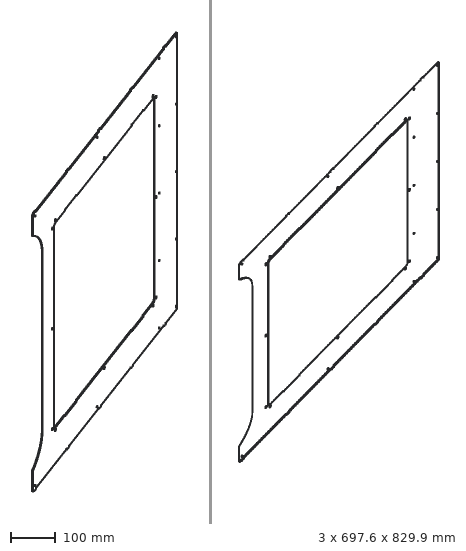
import cadquery as cq
import math

thickness = 3.0
width = 697.6
height = 829.9
tab_height = 3.0
back_edge = width / 2
front_edge = -width / 2

tab_width = 10.0
middle_tab_y = -24.0
inner_tab_offset = 155.0
outer_tab_offset = 315.0

post_edge = -301.9
sweep_radius = 102.0
sweep_start_z = 264.0

window_center_y = -3.2
window_width = 489.0
window_height = 611.0
window_corner_radius = 7.5
relief_offset = 162.0
relief_length = 56.0
relief_depth = 2.8

plate_hole_diameter = 3.5
window_hole_diameter = 5.5
hole_pitch = 201.0
corner_hole_z = 2 * hole_pitch
column_y = 263.4
column_pitch = 301.0
back_hole_inset = 3.0
window_hole_side_margin = 6.5
window_hole_end_margin = 7.3
window_hole_corner_step = 14.0


def block(center_y, center_z, size_y, size_z):
    """Rectangular block as thick as the plate."""
    face = cq.Workplane("YZ").center(center_y, center_z).rect(size_y, size_z)
    return face.extrude(thickness / 2, both=True)


def plate_blank():
    """Plain rectangular plate without its edge tabs."""
    return block(0, 0, width, height - 2 * tab_height)


def add_tabs(plate):
    """Add five tabs reaching past both the top and bottom edges."""
    for offset in (-outer_tab_offset, -inner_tab_offset, 0, inner_tab_offset, outer_tab_offset):
        plate = plate.union(block(middle_tab_y + offset, 0, tab_width, height))
    return plate


def cut_front(plate):
    """Cut back the front edge between the corners, with a concave arc at each end."""
    arc_center_y = post_edge - sweep_radius
    sweep_rise = (sweep_radius**2 - (front_edge - arc_center_y) ** 2) ** 0.5
    corner_z = sweep_start_z + sweep_rise
    mid_angle = math.asin(sweep_rise / sweep_radius) / 2
    mid_y = arc_center_y + sweep_radius * math.cos(mid_angle)
    mid_z = sweep_start_z + sweep_radius * math.sin(mid_angle)
    cutout = (
        cq.Workplane("YZ")
        .moveTo(front_edge, -corner_z)
        .threePointArc((mid_y, -mid_z), (post_edge, -sweep_start_z))
        .lineTo(post_edge, sweep_start_z)
        .threePointArc((mid_y, mid_z), (front_edge, corner_z))
        .close()
        .extrude(thickness / 2, both=True)
    )
    return plate.cut(cutout)


def cut_window(plate):
    """Cut the round-cornered window with two shallow reliefs in its top and bottom sides."""
    window = block(window_center_y, 0, window_width, window_height)
    window = window.edges("|X").fillet(window_corner_radius)
    for side in (-1, 1):
        relief_y = window_center_y + side * relief_offset
        relief_height = window_height + 2 * relief_depth
        window = window.union(block(relief_y, 0, relief_length, relief_height))
    return plate.cut(window)


def drill(plate, points, diameter):
    """Drill through holes at the given (Y, Z) points."""
    holes = cq.Workplane("YZ").pushPoints(points).circle(diameter / 2)
    return plate.cut(holes.extrude(thickness / 2, both=True))


def plate_holes():
    """Points of the two back columns and the remaining top and bottom holes."""
    back_hole_y = back_edge - back_hole_inset
    points = []
    for row in range(5):
        row_z = corner_hole_z - row * hole_pitch
        points.append((back_hole_y, row_z))
        points.append((column_y, row_z))
    for column in (1, 2):
        for side in (-1, 1):
            points.append((column_y - column * column_pitch, side * corner_hole_z))
    return points


def window_holes():
    """Points of three holes along each side of the window."""
    side_column = window_width / 2 + window_hole_side_margin
    end_row = window_height / 2 + window_hole_end_margin
    points = []
    for step in (-1, 0, 1):
        for side in (-1, 1):
            end_hole_offset = step * (side_column - window_hole_corner_step)
            side_hole_z = step * (end_row - window_hole_corner_step)
            points.append((window_center_y + end_hole_offset, side * end_row))
            points.append((window_center_y + side * side_column, side_hole_z))
    return points


plate = plate_blank()
plate = add_tabs(plate)
plate = cut_front(plate)
plate = cut_window(plate)
plate = drill(plate, plate_holes(), plate_hole_diameter)
result = drill(plate, window_holes(), window_hole_diameter)